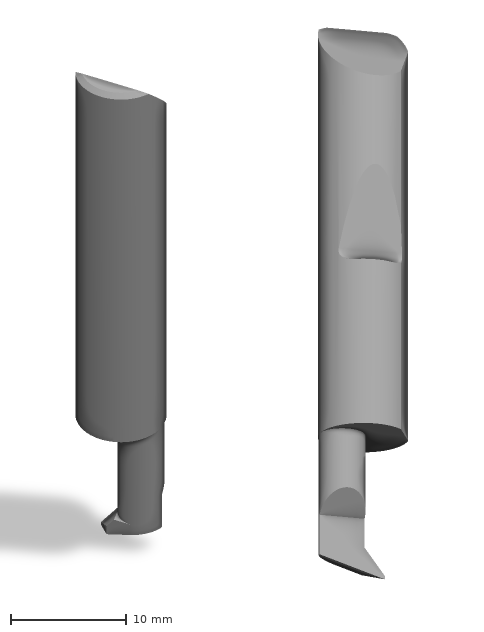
import cadquery as cq
import math

total_length = 50.8
shank_radius = 3.95
shoulder_z = 12.8
end_chamfer_height = 0.35
end_chamfer_width = 0.5
end_slope_start_y = -2.15
flat_distance = 3.635
flat_angle = 153.0

notch_floor_z = 27.85
notch_top_z = 36.6
notch_angle = 10.0
notch_root_radius = 1.0

neck_radius = 2.05
neck_x = shank_radius - neck_radius
neck_slope_z = 5.4

tip_x = -1.95
tip_height = 0.3
head_top_z = 2.75
head_top_x = -0.1
nose_back_x = -0.4
side_relief = 0.2
bottom_relief = 0.22
bottom_slope = 0.3

margin = 2.55


def make_shank():
    """Round bar with a bevelled end, a sloped end face, a side flat and a notch."""
    shank = cq.Workplane("XY", origin=(0, 0, shoulder_z)).circle(shank_radius)
    shank = shank.extrude(total_length - shoulder_z)
    top_edge = shank.faces(">Z").edges().vals()
    bevelled = shank.val().chamfer(end_chamfer_height, end_chamfer_width, top_edge)
    shank = cq.Workplane(bevelled)
    return shank.cut(end_slope()).cut(side_flat()).cut(whistle_notch())


def along_x(points):
    """Prism across the whole shank from a (Y, Z) outline."""
    half_width = shank_radius + margin
    return cq.Workplane("YZ").polyline(points).close().extrude(half_width, both=True)


def end_slope():
    outer_y = shank_radius + margin
    drop = outer_y - end_slope_start_y
    return along_x([
        (end_slope_start_y - margin, total_length + margin),
        (outer_y, total_length + margin),
        (outer_y, total_length - drop),
    ])


def side_flat():
    block = cq.Workplane("XY").box(
        margin, 2 * shank_radius, total_length, centered=(False, True, False)
    )
    return block.translate((flat_distance, 0, 0)).rotate((0, 0, 0), (0, 0, 1), flat_angle)


def whistle_notch():
    slope = math.tan(math.radians(notch_angle))
    root_y = shank_radius - (notch_top_z - notch_floor_z) * slope
    outer_y = shank_radius + margin
    outer_z = notch_top_z + margin / slope
    wedge = along_x([(root_y, notch_floor_z), (outer_y, notch_floor_z), (outer_y, outer_z)])
    return wedge.edges("|X").edges("<Y").fillet(notch_root_radius)


def make_neck():
    """Round neck whose lower part is cut back to half depth."""
    neck = cq.Workplane("XY").center(neck_x, 0).circle(neck_radius).extrude(shoulder_z)
    reach = neck_radius + margin
    back_half = along_x([
        (0, -margin),
        (0, neck_slope_z),
        (reach, neck_slope_z + reach),
        (reach, -margin),
    ])
    return neck.cut(back_half)


def make_head():
    """Cutting tip projecting towards -X, with relieved nose and flank."""
    plan = [(tip_x, 0), (nose_back_x, -neck_radius), (neck_x, -neck_radius), (neck_x, 0)]
    head = cq.Workplane("XY").polyline(plan).close().extrude(head_top_z)

    flank = (head_top_x - tip_x) / (head_top_z - tip_height)
    flank_top_x = tip_x + (total_length - tip_height) * flank
    flank_bottom_x = tip_x - tip_height * flank
    retreat = side_relief * neck_radius
    waste_x = flank_bottom_x - margin

    def flank_outline(shift):
        return [
            (waste_x, 0),
            (flank_bottom_x + shift, 0),
            (flank_top_x + shift, total_length),
            (waste_x, total_length),
        ]

    waste = (
        cq.Workplane("XZ")
        .polyline(flank_outline(0)).close()
        .workplane(offset=neck_radius)
        .polyline(flank_outline(retreat)).close()
        .loft(ruled=True)
    )
    return head.cut(waste)


def bottom_waste():
    """Material below the sloping, relieved bottom face."""
    right_x = shank_radius + margin

    def outline(rise):
        return [
            (tip_x - margin, rise - margin * bottom_slope),
            (right_x, rise + (right_x - tip_x) * bottom_slope),
            (right_x, -margin),
            (tip_x - margin, -margin),
        ]

    return (
        cq.Workplane("XZ", origin=(0, margin, 0))
        .polyline(outline(-bottom_relief * margin)).close()
        .workplane(offset=2 * margin)
        .polyline(outline(bottom_relief * margin)).close()
        .loft(ruled=True)
    )


tool_end = make_neck().union(make_head()).cut(bottom_waste())
result = make_shank().union(tool_end)